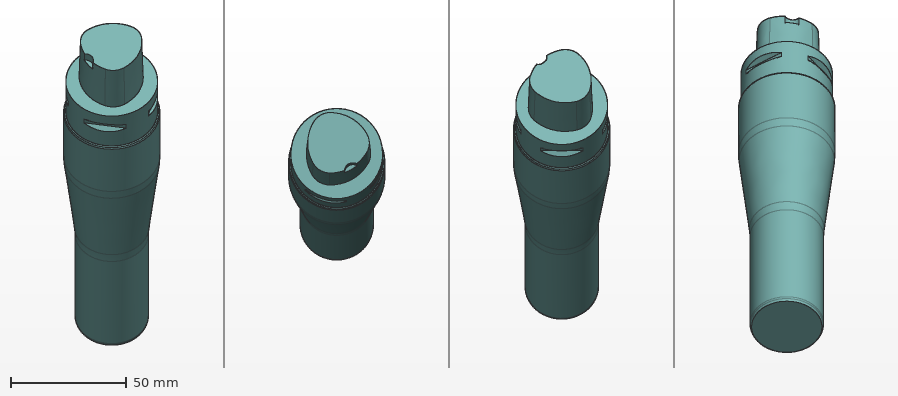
import cadquery as cq
import math

total_height = 184.0
shank_radius = 32.0 / 2
body_radius = 42.0 / 2
flange_radius = 40.0 / 2
polygon_height = 24.0
flange_height = 20.0
flange_top = total_height - polygon_height
body_top = flange_top - flange_height

bottom_steep_height = 1.0
bottom_steep_width = 0.2
bottom_flat_height = 1.1
bottom_flat_width = 0.5
body_steep_height = 0.7
body_steep_width = 0.4
body_flat_height = 0.4
body_flat_width = 0.5
cone_bottom = 59.8
cone_top = 108.0
cone_blend_radius = 47.8

mean_radius = 14.0
lobe_height = 0.77
lobe_center_radius = 5.9
polygon_taper = math.degrees(math.atan(1 / 40))

notch_radius = 3.7
notch_center_y = -14.4
notch_depth = 4.2

groove_count = 4
groove_z = 152.0
groove_floor_radius = 17.7
groove_floor_height = 2.4
groove_wall_angle = 30.0


def polar(radius, angle):
    return radius * math.cos(math.radians(angle)), radius * math.sin(math.radians(angle))


def make_turned_body():
    body = (
        cq.Workplane("XZ")
        .moveTo(0, 0)
        .lineTo(shank_radius - bottom_steep_width - bottom_flat_width, 0)
        .lineTo(shank_radius - bottom_steep_width, bottom_flat_height)
        .lineTo(shank_radius, bottom_flat_height + bottom_steep_height)
        .lineTo(shank_radius, cone_bottom)
        .lineTo(body_radius, cone_top)
        .lineTo(body_radius, body_top - body_flat_height - body_steep_height)
        .lineTo(body_radius - body_steep_width, body_top - body_flat_height)
        .lineTo(body_radius - body_steep_width - body_flat_width, body_top)
        .lineTo(flange_radius, body_top)
        .lineTo(flange_radius, flange_top)
        .lineTo(0, flange_top)
        .close()
        .revolve(360, (0, 0, 0), (0, 1, 0))
    )
    cone_zone = cq.selectors.BoxSelector(
        (-total_height, -total_height, cone_bottom - 1.8),
        (total_height, total_height, cone_top + 1.8),
        boundingbox=True,
    )
    cone_ends = body.edges(cone_zone).edges("%CIRCLE")
    return cone_ends.fillet(cone_blend_radius)


def make_polygon():
    """Six tangent arcs: a tight one on each lobe and a flat one between lobes."""
    side_center_radius = (
        4 * lobe_height * (lobe_center_radius - lobe_height)
        / (lobe_center_radius - 4 * lobe_height)
    )
    side_radius = mean_radius - lobe_height + side_center_radius
    lobe_x, lobe_y = polar(lobe_center_radius, 60)
    seam_direction = math.degrees(math.atan2(lobe_y, lobe_x + side_center_radius))
    seam_x, seam_y = polar(side_radius, seam_direction)
    seam_x -= side_center_radius
    seam_radius = math.hypot(seam_x, seam_y)
    seam_angle = math.degrees(math.atan2(seam_y, seam_x))

    outline = cq.Workplane("XY", origin=(0, 0, flange_top))
    outline = outline.moveTo(*polar(seam_radius, -90 - seam_angle))
    for side_angle in (-90, 30, 150):
        outline = outline.threePointArc(
            polar(mean_radius - lobe_height, side_angle),
            polar(seam_radius, side_angle + seam_angle),
        )
        outline = outline.threePointArc(
            polar(mean_radius + lobe_height, side_angle + 60),
            polar(seam_radius, side_angle + 120 - seam_angle),
        )
    return outline.close().extrude(polygon_height, taper=polygon_taper)


def make_notch():
    return (
        cq.Workplane("XY", origin=(0, notch_center_y, total_height - notch_depth))
        .circle(notch_radius)
        .extrude(notch_depth)
    )


def make_groove():
    """Trapezoidal bar along Y whose narrow face is the groove floor."""
    groove_depth = body_radius - groove_floor_radius
    floor_half = groove_floor_height / 2
    mouth_half = floor_half + groove_depth * math.tan(math.radians(groove_wall_angle))
    return (
        cq.Workplane("XZ")
        .polyline([
            (groove_floor_radius, groove_z - floor_half),
            (body_radius, groove_z - mouth_half),
            (body_radius, groove_z + mouth_half),
            (groove_floor_radius, groove_z + floor_half),
        ])
        .close()
        .extrude(body_radius, both=True)
    )


result = make_turned_body().union(make_polygon()).cut(make_notch())
groove = make_groove()
for index in range(groove_count):
    angle = (index + 0.5) * 360 / groove_count
    result = result.cut(groove.rotate((0, 0, 0), (0, 0, 1), angle))